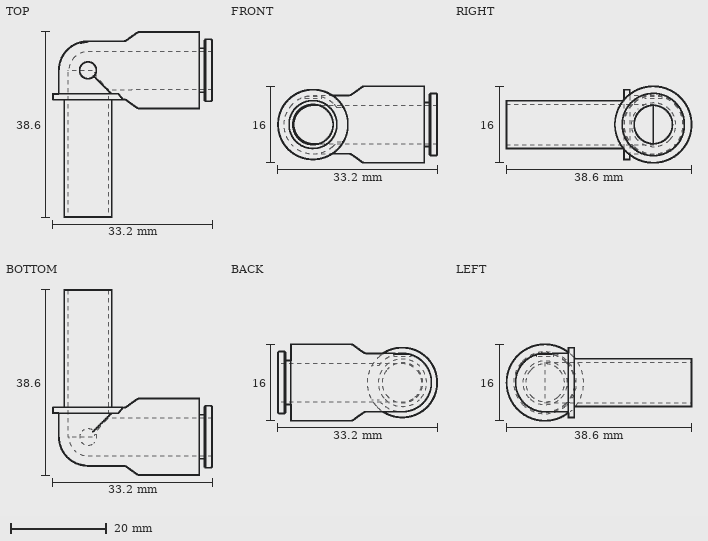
import cadquery as cq
import math


neck_radius = 6.1

stem_radius = 5.0
stem_end = 30.6
stem_bore_radius = 4.2
flange_radius = 7.3
flange_start = 4.9
flange_thickness = 1.25
flange_end = flange_start + flange_thickness

socket_radius = 8.0
socket_end = 23.2
socket_bore_radius = 4.0
shoulder_start = 7.78
shoulder_end = 10.43
shoulder_fillet = 1.0

ring_neck_radius = 4.6
ring_radius = 6.5
ring_thickness = 1.65
ring_end = 25.9
ring_start = ring_end - ring_thickness
ring_chamfer = 0.3
ring_fillet = 0.4

badge_radius = 1.75
badge_depth = 0.6


def rod_x(radius, start, end):
    """Cylinder about X, between two distances from the origin towards +X."""
    return cq.Workplane("YZ").workplane(offset=start).circle(radius).extrude(end - start)


def rod_y(radius, start, end):
    """Cylinder about Y, between two distances from the origin towards -Y."""
    return cq.Workplane("XZ").workplane(offset=start).circle(radius).extrude(end - start)


def elbow():
    """Two crossing cylinders with a ball closing the outer corner."""
    ball = cq.Workplane("XY").sphere(neck_radius)
    return ball.union(rod_x(neck_radius, 0, shoulder_start)).union(rod_y(neck_radius, 0, flange_start))


def socket_body():
    """Solid barrel whose conical shoulder blends into the neck and the barrel with tangent arcs.

    shoulder_start and shoulder_end are the sharp corners that the arcs replace.
    """
    slope = math.atan2(socket_radius - neck_radius, shoulder_end - shoulder_start)
    tangent = shoulder_fillet * math.tan(slope / 2)
    dx = tangent * math.cos(slope)
    dr = tangent * math.sin(slope)
    half_x = shoulder_fillet * math.sin(slope / 2)
    half_r = shoulder_fillet * (1 - math.cos(slope / 2))
    fillet_start = shoulder_start - tangent
    fillet_end = shoulder_end + tangent
    profile = (
        cq.Workplane("XY")
        .lineTo(0, neck_radius)
        .lineTo(fillet_start, neck_radius)
        .threePointArc(
            (fillet_start + half_x, neck_radius + half_r),
            (shoulder_start + dx, neck_radius + dr),
        )
        .lineTo(shoulder_end - dx, socket_radius - dr)
        .threePointArc(
            (fillet_end - half_x, socket_radius - half_r),
            (fillet_end, socket_radius),
        )
        .lineTo(socket_end, socket_radius)
        .lineTo(socket_end, 0)
        .close()
    )
    return profile.revolve(360, (0, 0, 0), (1, 0, 0))


def release_ring():
    """Flanged ring, chamfered towards the socket and rounded at its outer face."""
    ring = rod_x(ring_radius, ring_start, ring_end)
    ring = ring.faces("<X").chamfer(ring_chamfer).faces(">X").edges().fillet(ring_fillet)
    return ring.union(rod_x(ring_neck_radius, socket_end, ring_end))


def stem():
    """Plain round stem with the flange at its root."""
    flange = rod_y(flange_radius, flange_start, flange_end)
    return flange.union(rod_y(stem_radius, flange_start, stem_end))


def bore():
    """Through passage: the stem bore meets a slightly narrower, ball-ended socket bore."""
    ball = cq.Workplane("XY").sphere(socket_bore_radius)
    passage = ball.union(rod_x(socket_bore_radius, 0, ring_end))
    return passage.union(rod_y(stem_bore_radius, 0, stem_end))


def badge_recess():
    """Shallow flat-floored disc removed from the +Z side of the elbow."""
    floor = neck_radius - badge_depth
    return cq.Workplane("XY").workplane(offset=floor).circle(badge_radius).extrude(badge_depth)


outside = elbow().union(socket_body()).union(release_ring()).union(stem())
result = outside.cut(bore()).cut(badge_recess())